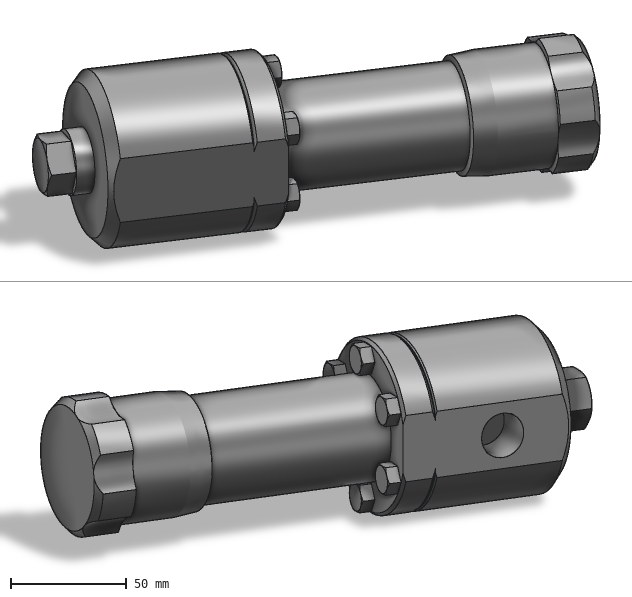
import cadquery as cq
import math

hex_end_y = 12.0
body_front_y = 20.2
plate_front_y = 85.5
plate_back_y = 101.0
bolt_back_y = 107.0
collar_front_y = 186.4
collar_tip_y = 187.2
taper_back_y = 198.0
knob_front_y = 225.1
overall_length = 243.84

body_radius = 39.0
width_across_flats = 72.01
body_front_chamfer = 5.0
body_back_chamfer = 0.7
plate_chamfer = 1.4

port_radius = 10.0
port_depth = 20.0
port_y = 53.6

boss_radius = 14.5
plug_across_flats = 24.0
plug_angle = 4.0
plug_tip_radius = 11.9
hex_tip_slope = math.radians(25)

bolt_count = 6
bolt_circle_radius = 31.0
bolt_across_flats = 12.5
bolt_tip_radius = 6.2

tube_radius = 24.0
collar_radius = 27.5
collar_tip_radius = 26.4
knob_radius = 30.6
knob_chamfer = 3.0
lobe_count = 6
first_lobe_angle = 80.7
flute_half_angle = 16.2


def y_plane(y):
    """Plane normal to +Y at the given position, with local x along X and local y along -Z."""
    return cq.Workplane(cq.Plane(origin=(0, y, 0), xDir=(1, 0, 0), normal=(0, 1, 0)))


def cylinder(radius, y_start, y_end):
    return y_plane(y_start).circle(radius).extrude(y_end - y_start)


def polar_point(radius, angle):
    """Point on a circle about the Y axis, the angle turning from +X towards +Z."""
    return radius * math.cos(math.radians(angle)), -radius * math.sin(math.radians(angle))


def hex_head(across_flats, tip_radius, height):
    """Hex prism on the Z axis whose corners are bevelled at the top."""
    corner_radius = across_flats / math.sqrt(3)
    bevel_height = (corner_radius - tip_radius) * math.tan(hex_tip_slope)
    prism = cq.Workplane("XY").polygon(6, 2 * corner_radius).extrude(height)
    envelope = (
        cq.Workplane("XZ")
        .moveTo(0, 0)
        .lineTo(corner_radius, 0)
        .lineTo(corner_radius, height - bevel_height)
        .lineTo(tip_radius, height)
        .lineTo(0, height)
        .close()
        .revolve(360, (0, 0, 0), (0, 1, 0))
    )
    return prism.intersect(envelope)


def make_body():
    body = cylinder(body_radius, body_front_y, plate_front_y)
    body = body.faces("<Y").chamfer(body_front_chamfer)
    body = body.faces(">Y").chamfer(body_back_chamfer)
    plate = cylinder(body_radius, plate_front_y, plate_back_y)
    plate = plate.faces("<Y or >Y").chamfer(plate_chamfer)
    flats = cq.Workplane("XY").box(width_across_flats, 2 * overall_length, 2 * body_radius)
    port = (
        cq.Workplane("YZ", origin=(-width_across_flats / 2, 0, 0))
        .center(port_y, 0)
        .circle(port_radius)
        .extrude(port_depth)
    )
    return body.union(plate).intersect(flats).cut(port)


def make_plug():
    boss = cylinder(boss_radius, hex_end_y, body_front_y)
    head = (
        hex_head(plug_across_flats, plug_tip_radius, hex_end_y)
        .rotate((0, 0, 0), (0, 0, 1), plug_angle)
        .rotate((0, 0, 0), (1, 0, 0), 90)
        .translate((0, hex_end_y, 0))
    )
    return boss.union(head)


def make_bolts():
    """Ring of bolt heads, all turned the same way, with one straight above the axis."""
    head = hex_head(bolt_across_flats, bolt_tip_radius, bolt_back_y - plate_back_y)
    head = head.rotate((0, 0, 0), (1, 0, 0), -90)
    bolts = cq.Workplane("XY")
    for index in range(bolt_count):
        turn = math.radians(index * 360 / bolt_count)
        x = bolt_circle_radius * math.sin(turn)
        z = bolt_circle_radius * math.cos(turn)
        bolts = bolts.add(head.translate((x, plate_back_y, z)))
    return bolts.combine()


def make_tube_and_collar():
    """Tube and collar turned as one; the collar tapers forward to a slightly sloped front face."""
    return (
        cq.Workplane("XY")
        .moveTo(0, plate_back_y)
        .lineTo(tube_radius, plate_back_y)
        .lineTo(tube_radius, collar_front_y)
        .lineTo(collar_tip_radius, collar_tip_y)
        .lineTo(collar_radius, taper_back_y)
        .lineTo(collar_radius, knob_front_y)
        .lineTo(0, knob_front_y)
        .close()
        .revolve(360, (0, 0, 0), (0, 1, 0))
    )


def make_knob():
    """Six-lobed grip whose hollow flutes just reach the collar radius."""
    knob = cylinder(knob_radius, knob_front_y, overall_length)
    knob = knob.faces(">Y").chamfer(knob_chamfer)
    half_chord = knob_radius * math.sin(math.radians(flute_half_angle))
    flute_depth = knob_radius * math.cos(math.radians(flute_half_angle)) - collar_radius
    flute_radius = (half_chord**2 + flute_depth**2) / (2 * flute_depth)
    lobe_pitch = 360 / lobe_count
    first_flute_angle = first_lobe_angle + lobe_pitch / 2
    flute_centers = [
        polar_point(collar_radius + flute_radius, first_flute_angle + index * lobe_pitch)
        for index in range(lobe_count)
    ]
    flutes = (
        y_plane(knob_front_y)
        .pushPoints(flute_centers)
        .circle(flute_radius)
        .extrude(overall_length - knob_front_y)
    )
    return knob.cut(flutes)


result = (
    make_body()
    .union(make_plug())
    .union(make_bolts())
    .union(make_tube_and_collar())
    .union(make_knob())
)